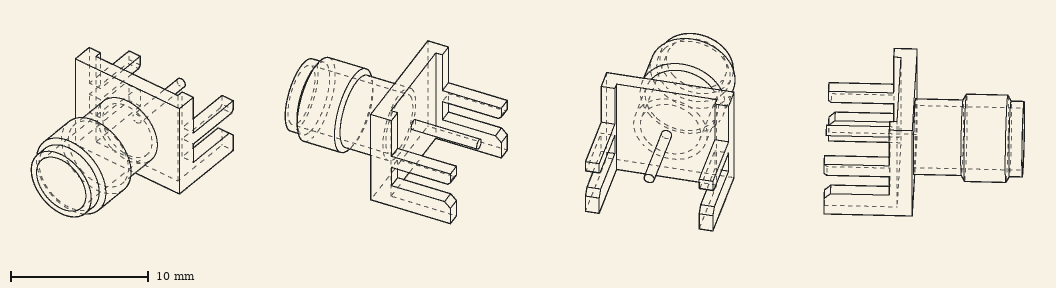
import cadquery as cq

length = 14.28
width = 9.52
height = 7.93

plate_front = length - 6.41
legs_root = length - 4.74
web_thickness = 1.14
leg_width = 1.03

lower_leg_top = 1.9
upper_leg_bottom = 3.58
upper_leg_top = 4.61
lower_leg_chamfer = 0.47
upper_leg_chamfer = 0.2

axis_height = 3.58
barrel_diameter = 5.5
collar_diameter = 6.35
bore_diameter = 4.51
nose_length = 0.94
collar_length = 3.48
bevel_length = 0.24

pin_diameter = 0.75
pin_height = upper_leg_bottom + pin_diameter / 2


def make_side_frame():
    """Side outline of plate and forked legs, extruded over the full width."""
    return (
        cq.Workplane("YZ", origin=(-width / 2, 0, 0))
        .moveTo(plate_front, 0)
        .lineTo(length, 0)
        .lineTo(length, lower_leg_top - lower_leg_chamfer)
        .lineTo(length - lower_leg_chamfer, lower_leg_top)
        .lineTo(legs_root, lower_leg_top)
        .lineTo(legs_root, upper_leg_bottom)
        .lineTo(length - upper_leg_chamfer, upper_leg_bottom)
        .lineTo(length, upper_leg_bottom + upper_leg_chamfer)
        .lineTo(length, upper_leg_top)
        .lineTo(legs_root, upper_leg_top)
        .lineTo(legs_root, height)
        .lineTo(plate_front, height)
        .close()
        .extrude(width)
    )


def make_leg_gap():
    """Space between the two legs, which leaves the thinner web of the plate."""
    web_back = plate_front + web_thickness
    return (
        cq.Workplane("XY")
        .center(0, (web_back + length) / 2)
        .rect(width - 2 * leg_width, length - web_back)
        .extrude(height)
    )


def make_barrel():
    """Barrel with its bevelled collar, revolved about the connector axis."""
    barrel_radius = barrel_diameter / 2
    collar_radius = collar_diameter / 2
    collar_back = nose_length + collar_length
    return (
        cq.Workplane("XY", origin=(0, 0, axis_height))
        .lineTo(barrel_radius, 0)
        .lineTo(barrel_radius, nose_length)
        .lineTo(collar_radius, nose_length + bevel_length)
        .lineTo(collar_radius, collar_back - bevel_length)
        .lineTo(barrel_radius, collar_back)
        .lineTo(barrel_radius, plate_front)
        .lineTo(0, plate_front)
        .close()
        .revolve(360, (0, 0, 0), (0, 1, 0))
    )


def make_rod(diameter, z, start, end):
    """Round rod along Y at height z."""
    return (
        cq.Workplane("XZ", origin=(0, start, z))
        .circle(diameter / 2)
        .extrude(-(end - start))
    )


frame = make_side_frame().cut(make_leg_gap())
bore = make_rod(bore_diameter, axis_height, 0, plate_front)
pin = make_rod(pin_diameter, pin_height, plate_front, length)

result = frame.union(make_barrel()).cut(bore).union(pin)